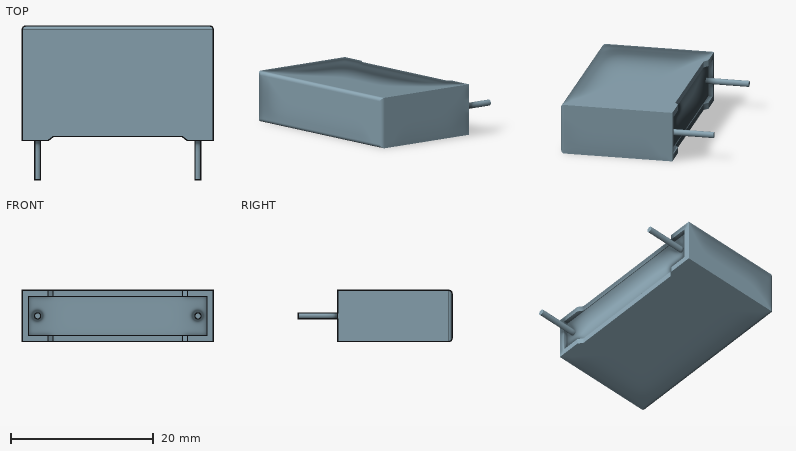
import cadquery as cq

LENGTH = 26.8
DEPTH = 16.08
HEIGHT = 7.2
WALL = 0.88
BACK_FILLET = 0.5

NOTCH_DEPTH = 0.54
NOTCH_END_MARGIN = 3.65
NOTCH_SLOPE_LENGTH = 0.7

POTTING_RECESS = 0.65

LEAD_SPACING = 22.49
LEAD_DIAMETER = 0.85
LEAD_PROJECTION = 5.52

CAVITY_LENGTH = LENGTH - 2 * WALL
CAVITY_HEIGHT = HEIGHT - 2 * WALL
CAVITY_DEPTH = DEPTH - WALL


def block(length, height, front, back):
    """Box centred on X and Z that spans Y from front to back."""
    return (
        cq.Workplane("XY")
        .box(length, back - front, height, centered=(True, False, True))
        .translate((0, front, 0))
    )


def make_notch_cutter():
    half_mouth = LENGTH / 2 - NOTCH_END_MARGIN
    half_floor = half_mouth - NOTCH_SLOPE_LENGTH
    return (
        cq.Workplane("XY")
        .moveTo(-half_mouth, 0)
        .lineTo(half_mouth, 0)
        .lineTo(half_floor, NOTCH_DEPTH)
        .lineTo(-half_floor, NOTCH_DEPTH)
        .close()
        .extrude(HEIGHT / 2, both=True)
    )


def make_housing():
    shell = block(LENGTH, HEIGHT, 0, DEPTH)
    shell = shell.faces(">Y").edges().fillet(BACK_FILLET)
    cavity = block(CAVITY_LENGTH, CAVITY_HEIGHT, 0, CAVITY_DEPTH)
    return shell.cut(cavity).cut(make_notch_cutter())


def make_potting():
    return block(CAVITY_LENGTH, CAVITY_HEIGHT, POTTING_RECESS, CAVITY_DEPTH)


def make_lead(x):
    """Round lead standing on the front face of the potting."""
    return (
        cq.Workplane("XZ", origin=(x, POTTING_RECESS, 0))
        .circle(LEAD_DIAMETER / 2)
        .extrude(POTTING_RECESS + LEAD_PROJECTION)
    )


housing = make_housing()
potting = make_potting()
leads = [make_lead(side * LEAD_SPACING / 2) for side in (-1, 1)]

result = cq.Compound.makeCompound(
    [housing.val(), potting.val(), *[lead.val() for lead in leads]]
)